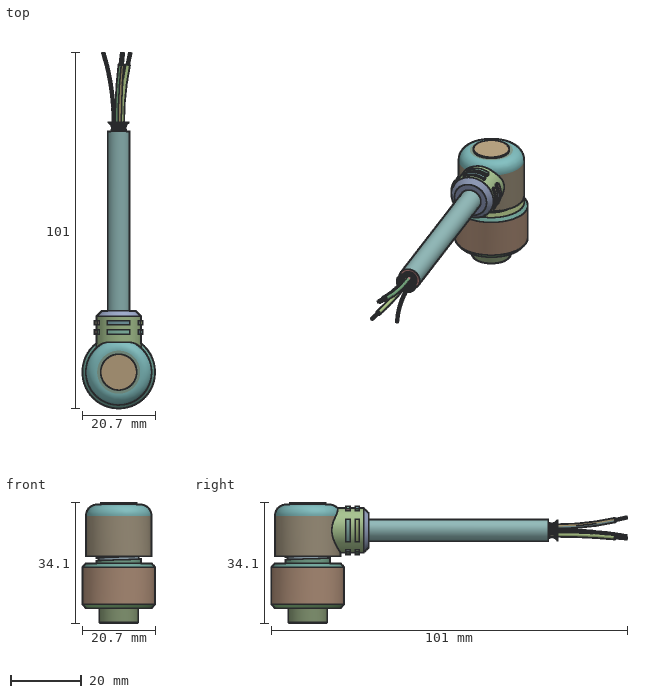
import cadquery as cq
import math


overall_length = 101.0

stub_diameter = 11.1
stub_chamfer = 0.3
neck_diameter = 12.7
body_diameter = 18.7
body_bottom = 19.0
body_top = 33.7
body_fillet = 3.2
cap_diameter = 10.2
cap_top = 34.1

groove_width = 0.8
groove_depth = 0.6
groove_pitch = 1.1
groove_start_height = 17.9
groove_start_angle = 100

nut_diameter = 20.7
nut_bottom = 4.2
nut_top = 17.0
nut_chamfer_width = 1.0
nut_top_chamfer_height = 1.0
nut_bottom_chamfer_height = 1.2

cable_height = 26.4
outlet_diameter = 12.7
outlet_end = 17.4
outlet_chamfer = 1.5
rib_ring_diameter = 13.7
rib_width = 6.4
rib_thickness = 1.2
rib_positions = (11.4, 14.0)

cable_diameter = 6.3
cable_end = 68.3

braid_end = 70.9
braid_strand_count = 48
braid_strand_diameter = 0.13
braid_root_radius = 2.2
braid_waist_radius = 1.97
braid_flare_radius = 2.88

tip_overhang = 0.1
tip_end = overall_length - nut_diameter / 2 - tip_overhang
bend_length = tip_end - braid_end
insulation_end = 87.1
insulation_diameter = 1.3
strand_diameter = 0.2
strand_ring_radius = 0.3
conductor_ring_strands = 6
drain_ring_strands = 10
embed = 0.5

conductors = [
    ((-0.4, 1.1), (1.4, 2.6)),
    ((0.1, 1.1), (1.1, 2.6)),
    ((0.9, -1.2), (2.4, -1.1)),
]
drain_place = (-1.4, 0)
drain_bend = (-2.9, -1.7)


def cylinder(diameter, bottom, top):
    return cq.Workplane().workplane(offset=bottom).circle(diameter / 2).extrude(top - bottom)


def cable_cylinder(diameter, start, end):
    """Cylinder on the cable axis between two Y positions."""
    plane = cq.Plane(origin=(0, start, cable_height), xDir=(1, 0, 0), normal=(0, 1, 0))
    return cq.Workplane(plane).circle(diameter / 2).extrude(end - start)


def neck():
    """Neck between body and nut, with a helical groove that rises out of it under the body."""
    outer_radius = neck_diameter / 2
    helix = cq.Wire.makeHelix(groove_pitch, groove_pitch, outer_radius)
    groove = (
        cq.Workplane("XZ", origin=(outer_radius, 0, 0))
        .rect(2 * groove_depth, groove_width)
        .sweep(cq.Workplane(helix), isFrenet=True)
        .rotate((0, 0, 0), (0, 0, 1), groove_start_angle)
        .translate((0, 0, groove_start_height))
    )
    return cylinder(neck_diameter, nut_top, body_bottom).cut(groove)


def plug_body():
    stub = cylinder(stub_diameter, 0, body_bottom).faces("<Z").chamfer(stub_chamfer)
    body = cylinder(body_diameter, body_bottom, body_top).faces(">Z").edges().fillet(body_fillet)
    cap = cylinder(cap_diameter, body_top, cap_top)
    return stub.union(neck()).union(body).union(cap)


def grip_ribs():
    """Four ribs around the outlet at each rib position: a ring kept only where two bars cross it."""
    ribs = cq.Workplane()
    for position in rib_positions:
        start = position - rib_thickness / 2
        ring = cable_cylinder(rib_ring_diameter, start, start + rib_thickness)
        flat_bar = cq.Workplane().box(rib_ring_diameter, rib_thickness, rib_width)
        upright_bar = cq.Workplane().box(rib_width, rib_thickness, rib_ring_diameter)
        cross = flat_bar.union(upright_bar).translate((0, position, cable_height))
        ribs = ribs.add(ring.intersect(cross))
    return ribs.combine()


def outlet():
    return cable_cylinder(outlet_diameter, 0, outlet_end).faces(">Y").chamfer(outlet_chamfer)


def braid_strands():
    """Strands that leave the jacket, narrow to a waist and flare out."""
    waist = (cable_end + braid_end) / 2
    path = (
        cq.Workplane("YZ", origin=(0, 0, cable_height))
        .moveTo(cable_end - embed, braid_root_radius)
        .lineTo(cable_end, braid_root_radius)
        .threePointArc((waist, braid_waist_radius), (braid_end, braid_flare_radius))
    )
    plane = cq.Plane(
        origin=(0, cable_end - embed, cable_height + braid_root_radius),
        xDir=(1, 0, 0),
        normal=(0, 1, 0),
    )
    strand = (
        cq.Workplane(plane).circle(braid_strand_diameter / 2).sweep(path, transition="round").val()
    )
    step = 360 / braid_strand_count
    axis_start = cq.Vector(0, 0, cable_height)
    axis_end = cq.Vector(0, 1, cable_height)
    return [strand.rotate(axis_start, axis_end, i * step) for i in range(braid_strand_count)]


def bent_point(place, bend, y):
    """Point at Y on a wire whose deflection grows with the square of the distance from the braid."""
    share = ((y - braid_end) / bend_length) ** 2
    return cq.Vector(place[0] + share * bend[0], y, cable_height + place[1] + share * bend[1])


def bent_wire(place, bend, diameter, end):
    """Round wire: straight through the braid, then an arc that leaves it tangentially."""
    along = cq.Vector(0, 1, 0)
    root = cq.Vector(place[0], cable_end - embed, cable_height + place[1])
    bend_start = cq.Vector(place[0], braid_end, cable_height + place[1])
    straight = cq.Edge.makeLine(root, bend_start)
    arc = cq.Edge.makeTangentArc(bend_start, along, bent_point(place, bend, end))
    path = cq.Workplane(cq.Wire.assembleEdges([straight, arc]))
    plane = cq.Plane(origin=root, xDir=(1, 0, 0), normal=along)
    return cq.Workplane(plane).circle(diameter / 2).sweep(path).val()


def strand_places(ring_strand_count):
    """Strand centres in a bundle: one in the middle and a ring around it."""
    places = [(0, 0)]
    for i in range(ring_strand_count):
        angle = 2 * math.pi * i / ring_strand_count
        places.append((strand_ring_radius * math.cos(angle), strand_ring_radius * math.sin(angle)))
    return places


def conductor(place, bend):
    """Insulated wire with a straight bundle of bare strands out of its end."""
    insulation = bent_wire(place, bend, insulation_diameter, insulation_end)
    slope = 2 * (insulation_end - braid_end) / bend_length ** 2
    direction = cq.Vector(slope * bend[0], 1, slope * bend[1])
    bundle_start = bent_point(place, bend, insulation_end) - direction * embed
    strand_length = (tip_end - bundle_start.y) * direction.Length
    plane = cq.Plane(origin=bundle_start, xDir=(1, -direction.x, 0), normal=direction)
    strands = (
        cq.Workplane(plane)
        .pushPoints(strand_places(conductor_ring_strands))
        .circle(strand_diameter / 2)
        .extrude(strand_length, combine=False)
    )
    return [insulation, *strands.vals()]


def drain_wire():
    """Bundle of bare strands."""
    return [
        bent_wire((drain_place[0] + x, drain_place[1] + z), drain_bend, strand_diameter, tip_end)
        for x, z in strand_places(drain_ring_strands)
    ]


def connector():
    """Plug, outlet, cable and its bare wire ends, moulded and joined into one body."""
    solid = plug_body().union(outlet()).union(grip_ribs())
    cable = cable_cylinder(cable_diameter, outlet_end - embed, cable_end)
    wires = braid_strands() + drain_wire()
    for place, bend in conductors:
        wires += conductor(place, bend)
    return solid.union(cable).val().fuse(*wires)


def coupling_nut():
    """Ring around the stub, chamfered at both ends."""
    outer_radius = nut_diameter / 2
    end_radius = outer_radius - nut_chamfer_width
    return (
        cq.Workplane("XZ")
        .moveTo(stub_diameter / 2, nut_bottom)
        .lineTo(end_radius, nut_bottom)
        .lineTo(outer_radius, nut_bottom + nut_bottom_chamfer_height)
        .lineTo(outer_radius, nut_top - nut_top_chamfer_height)
        .lineTo(end_radius, nut_top)
        .lineTo(stub_diameter / 2, nut_top)
        .close()
        .revolve(360, (0, 0, 0), (0, 1, 0))
    )


result = cq.Compound.makeCompound([*connector().Solids(), coupling_nut().val()])